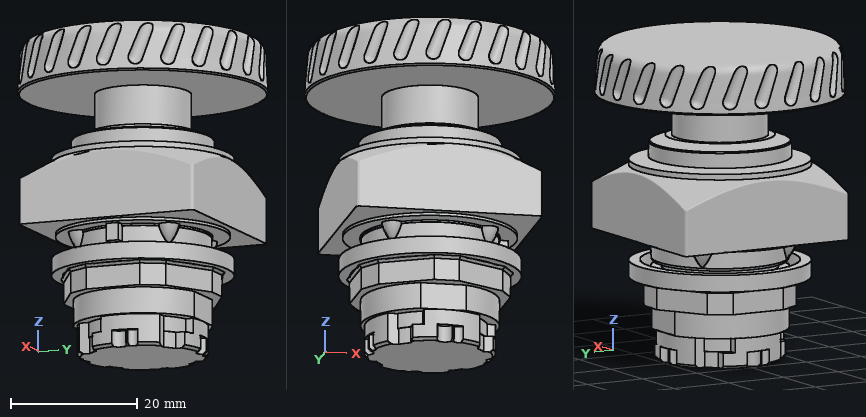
import cadquery as cq
import math

foot_top = 5.0
nut_bottom = 9.2
nut_top = 13.15
barrel_top = 14.8
disk_top = 15.85
neck_top = 19.45
block_bottom = 19.9
block_top = 31.15
bezel_top = 32.05
bezel_crown = 32.5
collar_top = 35.95
cap_bottom = 42.45
cap_top = 52.8

foot_radius = 20.75 / 2
foot_chamfer = 0.5
entry_floor_radius = 18.05 / 2
pocket_floor_radius = 9.15
slot_wall = 6.35
slot_entry_end = 4.75
slot_pocket_end = 3.0
step_height = 2.6
scallops = [(1.3, 1.2), (14.0, 0.8)]

barrel_radius = 22.0 / 2
nut_flats = 24.15
nut_corner_flats = 25.5
nut_flare = 0.5
nut_flare_taper = -40.0
disk_radius = 29.0 / 2
disk_bore_radius = 25.35 / 2
spindle_radius = 18.6 / 2
neck_radius = 21.85 / 2
neck_undercut = 0.4
neck_lip_radius = 11.1
neck_lip_height = 0.3
gusset_bottom = 16.25
gusset_radius = 1.75
gusset_mid_radius = 1.15
gusset_axis_radius = 10.8
key_reach = 12.4
key_width = 2.1
key_bottom = 16.65
gasket_radius = 27.65 / 2

block_side = 30.1
block_corner_radius = 0.6
block_edge_radius = 0.25
block_slope = 0.575
bezel_radius = disk_radius
collar_radius = 22.7 / 2
collar_chamfer = 0.2
collar_side_top = 34.85
collar_neck_radius = 8.7
stem_radius = 15.3 / 2

cap_radius = 39.75 / 2
cap_rim_top = 42.95
cap_rim_round = 0.25
cap_shoulder_radius = 19.55
cap_shoulder_bottom = 48.7
crown_radius = 17.45
crown_bottom = 50.95
shoulder_round = 2.3

groove_count = 24
groove_radius = 1.15
groove_axis_radius = 20.0
groove_bottom = 44.55
groove_length = 10.55
groove_lean = 21.0
groove_start = 4.5


def cylinder(radius, bottom, top):
    return cq.Workplane("XY").workplane(offset=bottom).circle(radius).extrude(top - bottom)


def block_between(x_range, y_range, z_range):
    """Box given by its lower and upper limits along each axis."""
    sizes = [high - low for low, high in (x_range, y_range, z_range)]
    corner = (x_range[0], y_range[0], z_range[0])
    return cq.Workplane("XY").box(*sizes, centered=False).translate(corner)


def front_point(radius, azimuth):
    """Point at a radius, with the azimuth counted from -Y towards +X."""
    angle = math.radians(azimuth)
    return radius * math.sin(angle), -radius * math.cos(angle)


def make_foot():
    foot = cylinder(foot_radius, 0, foot_top).faces("<Z").chamfer(foot_chamfer)

    side = (-foot_radius, -slot_wall)
    entry = block_between((-foot_radius, -slot_entry_end), side, (0, step_height))
    entry = entry.cut(cylinder(entry_floor_radius, 0, step_height))
    pocket = block_between((-foot_radius, -slot_pocket_end), side, (step_height, foot_top))
    pocket = pocket.cut(cylinder(pocket_floor_radius, step_height, foot_top))

    cutter = entry.union(pocket)
    for azimuth, radius in scallops:
        scallop = cylinder(radius, 0, step_height)
        cutter = cutter.union(scallop.translate((*front_point(foot_radius, azimuth), 0)))

    for quarter in range(4):
        foot = foot.cut(cutter.rotate((0, 0, 0), (0, 0, 1), 90 * quarter))
    return foot


def make_barrel():
    """Cylinder with flats at -Y and +Y, level with the foot below."""
    flats = block_between(
        (-barrel_radius, barrel_radius),
        (-foot_radius, foot_radius),
        (foot_top, barrel_top),
    )
    return cylinder(barrel_radius, foot_top, barrel_top).intersect(flats)


def hexagon(across_flats, bottom, height, turn, taper=0):
    diameter = across_flats / math.cos(math.pi / 6)
    prism = cq.Workplane("XY").polygon(6, diameter).extrude(height, taper=taper)
    return prism.rotate((0, 0, 0), (0, 0, 1), turn).translate((0, 0, bottom))


def trimmed_hexagon(bottom, height, taper=0):
    """Hexagon with flats at -X and +X, its corners cut by a second, turned hexagon."""
    main = hexagon(nut_flats, bottom, height, 30, taper)
    trim = hexagon(nut_corner_flats, bottom, height, 0, taper)
    return main.intersect(trim)


def make_nut():
    flare_bottom = nut_top - nut_flare
    body = trimmed_hexagon(nut_bottom, flare_bottom - nut_bottom)
    return body.union(trimmed_hexagon(flare_bottom, nut_flare, nut_flare_taper))


def make_disk():
    """Loose washer on the nut, leaving a gap around the barrel."""
    return cylinder(disk_radius, nut_top, disk_top).cut(cylinder(disk_bore_radius, nut_top, disk_top))


def make_neck():
    profile = [
        (0, disk_top),
        (neck_radius - neck_undercut / 2, disk_top),
        (neck_radius, disk_top + neck_undercut),
        (neck_radius, neck_top - neck_lip_height),
        (neck_lip_radius, neck_top - neck_lip_height),
        (neck_lip_radius, neck_top),
        (0, neck_top),
    ]
    neck = cq.Workplane("XZ").polyline(profile).close().revolve(360, (0, 0), (0, 1))
    gusset_height = neck_top - gusset_bottom
    gusset = (
        cq.Workplane("XZ")
        .moveTo(0, 0)
        .threePointArc((gusset_mid_radius, gusset_height / 2), (gusset_radius, gusset_height))
        .lineTo(0, gusset_height)
        .close()
        .revolve(360, (0, 0), (0, 1))
    )
    for azimuth in (45, 135, 225, 315):
        x, y = front_point(gusset_axis_radius, azimuth)
        neck = neck.union(gusset.translate((x, y, gusset_bottom)))
    key = block_between((0, key_reach), (-key_width / 2, key_width / 2), (key_bottom, neck_top))
    return neck.union(key)


def make_block():
    """Square block whose top falls away conically towards the corners."""
    side_range = (-block_side / 2, block_side / 2)
    block = block_between(side_range, side_range, (block_bottom, block_top))
    block = block.edges("|Z").fillet(block_corner_radius)
    cone_radius = block_side
    cone_edge = block_top - block_slope * (cone_radius - bezel_radius)
    profile = [
        (0, 0),
        (cone_radius, 0),
        (cone_radius, cone_edge),
        (bezel_radius, block_top),
        (0, block_top),
    ]
    envelope = (
        cq.Workplane("XZ")
        .polyline(profile)
        .close()
        .revolve(360, (0, 0), (0, 1))
    )
    block = block.intersect(envelope)
    return block.faces("<X or >X or <Y or >Y").edges(">Z").fillet(block_edge_radius)


def make_collar():
    profile = [
        (0, block_top),
        (bezel_radius, block_top),
        (bezel_radius, bezel_top),
        (collar_radius, bezel_crown),
        (collar_radius, collar_side_top),
        (collar_radius - collar_chamfer, collar_side_top + collar_chamfer),
        (collar_neck_radius, collar_top),
        (0, collar_top),
    ]
    return cq.Workplane("XZ").polyline(profile).close().revolve(360, (0, 0), (0, 1))


def make_cap():
    crown_rise = cap_top - crown_bottom
    crown_round = (crown_radius ** 2 + crown_rise ** 2) / (2 * crown_rise)
    cap = (
        cq.Workplane("XZ")
        .moveTo(0, cap_bottom)
        .lineTo(cap_radius - cap_rim_round, cap_bottom)
        .lineTo(cap_radius, cap_bottom + cap_rim_round)
        .lineTo(cap_radius, cap_rim_top)
        .lineTo(cap_shoulder_radius, cap_shoulder_bottom)
        .radiusArc((crown_radius, crown_bottom), -shoulder_round)
        .radiusArc((0, cap_top), -crown_round)
        .close()
        .revolve(360, (0, 0), (0, 1))
    )
    lean = math.radians(groove_lean)
    start = cq.Vector(groove_axis_radius, 0, groove_bottom)
    direction = cq.Vector(0, math.sin(lean), math.cos(lean))
    rod = cq.Solid.makeCylinder(groove_radius, groove_length, start, direction)
    ball = cq.Workplane("XY").sphere(groove_radius).translate(start.toTuple())
    groove = ball.union(cq.Workplane(rod))
    for index in range(groove_count):
        azimuth = groove_start + index * 360 / groove_count
        cap = cap.cut(groove.rotate((0, 0, 0), (0, 0, 1), azimuth - 90))
    return cap


result = (
    make_foot()
    .union(make_barrel())
    .union(make_nut())
    .union(make_disk())
    .union(cylinder(spindle_radius, barrel_top, disk_top))
    .union(make_neck())
    .union(cylinder(gasket_radius, neck_top, block_bottom))
    .union(make_block())
    .union(make_collar())
    .union(cylinder(stem_radius, collar_top, cap_bottom))
    .union(make_cap())
)